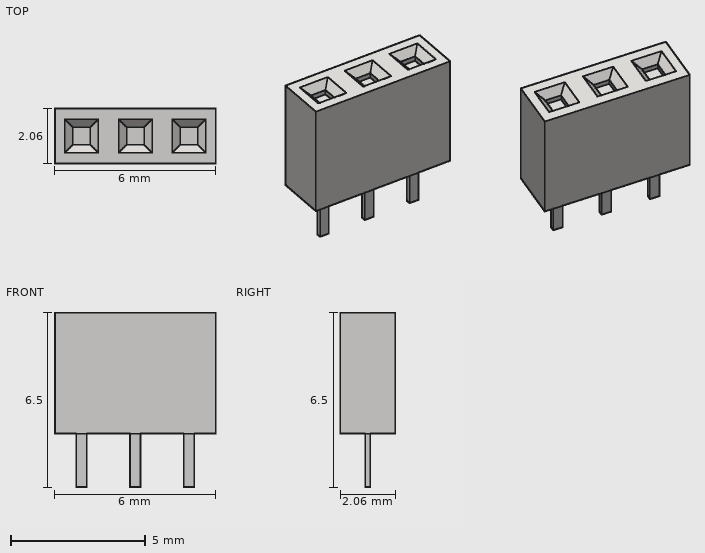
import cadquery as cq

body_length = 6.0
body_width = 2.06
body_height = 4.5

contact_count = 3
pitch = 2.0

pin_width = 0.4
pin_thickness = 0.2
pin_length = 2.0

lead_in_opening = 1.25
lead_in_depth = 0.3
well_side = lead_in_opening - 2 * lead_in_depth
well_depth = 0.2


def make_housing():
    """Plain block standing on the XY plane."""
    return cq.Workplane("XY").box(
        body_length, body_width, body_height, centered=(True, True, False)
    )


def make_pin(x):
    """Flat pin hanging from the underside of the housing."""
    return cq.Workplane("XY").center(x, 0).rect(pin_width, pin_thickness).extrude(-pin_length)


def make_socket(x):
    """Void of one socket, open at the top of the housing."""
    lead_in = (
        cq.Workplane("XY", origin=(x, 0, body_height))
        .rect(lead_in_opening, lead_in_opening)
        .workplane(offset=-lead_in_depth)
        .rect(well_side, well_side)
        .loft(ruled=True)
    )
    well = (
        cq.Workplane("XY", origin=(x, 0, body_height - lead_in_depth))
        .rect(well_side, well_side)
        .extrude(-well_depth)
    )
    return lead_in.union(well)


result = make_housing()
for index in range(contact_count):
    contact_x = (index - (contact_count - 1) / 2) * pitch
    result = result.cut(make_socket(contact_x)).union(make_pin(contact_x))